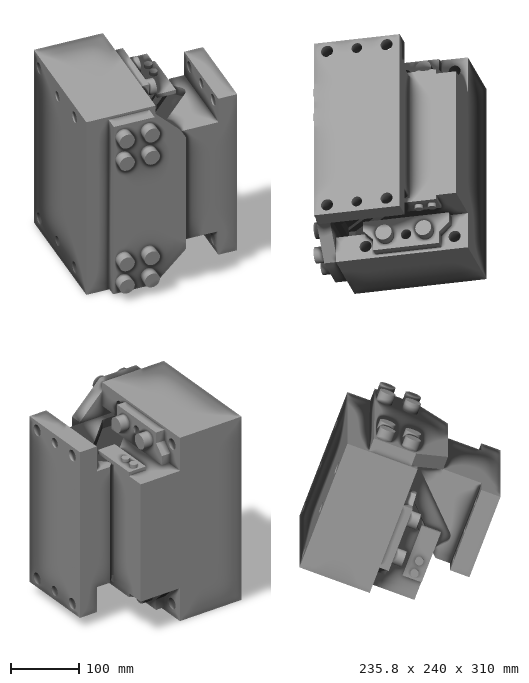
import cadquery as cq
import math

SIDES = (1, -1)

base_length = 200.0
base_depth = 110.0
base_width = 310.0
channel_floor = 70.0
channel_half_width = 115.0

large_hole_diameter = 18.0
small_hole_diameter = 15.8
base_large_hole_xs = (20.0, 155.0)
base_large_hole_z = 135.0
base_small_hole_x = 90.0
base_small_hole_z = 130.0

bolt_diameter = 24.2
bolt_height = 15.8
bolt_z = 130.2

gib_center_x = base_small_hole_x
gib_length = 130.0
gib_thickness = 15.0
gib_chamfer = 15.0
gib_inner_z = 102.0
gib_shoulder_z = 117.2
gib_outer_z = 150.0
gib_bolt_spacing = 60.0

end_plate_thickness = 20.0
end_plate_bottom = 34.0
end_plate_top = 150.0
end_plate_half_width = 150.0
end_plate_chamfer = 50.0
end_plate_rise = 1.2
end_bolt_ys = (50.0, 90.0)
end_bolt_zs = (90.2, bolt_z)

slide_half_width = 99.2
slide_top = 180.0
crest_x = 70.0
side_plate_x = 30.0
side_plate_length = 80.0
side_plate_height = 30.0
side_plate_thickness = 6.5
pin_diameter = 12.5
pin_height = 6.0
pin_xs = (40.3, 60.0)

driver_top = 240.0
driver_flange_thickness = 30.0
driver_flange_half_width = 140.0
driver_half_width = 98.0
driver_large_hole_xs = (90.0, 180.0)
driver_small_hole_x = sum(driver_large_hole_xs) / 2
driver_hole_z = 125.2

lip_gap = 4.5
rail_thickness = 10.0
pocket_height = 40.0
pocket_start = 10.0
rail_step = 57.5

pocket_depth = 15.0
pocket_radius = 12.0
pocket_end_wall = 10.0
upper_rail_rise = 10.0
lower_rail_rise = 5.0


def block(x_range, y_range, z_range):
    """Box between the given limits."""
    size = [high - low for low, high in (x_range, y_range, z_range)]
    return cq.Workplane("XY").box(*size, centered=False).translate((x_range[0], y_range[0], z_range[0]))


def cylinder(diameter, height, start, direction):
    """Cylinder that grows from the start point along the direction."""
    solid = cq.Solid.makeCylinder(diameter / 2, height, cq.Vector(*start), cq.Vector(*direction))
    return cq.Workplane(obj=solid)


def prism(points, half_width):
    """XY outline extruded to both sides of Z = 0."""
    return cq.Workplane("XY").polyline(points).close().extrude(half_width, both=True)


def incline_block(along, square, z_range):
    """Box laid out down the 45 degree face from the crest and square to it."""
    box = block(along, square, z_range)
    return box.rotate((0, 0, 0), (0, 0, 1), -45).translate((crest_x, slide_top, 0))


def make_gib(side):
    """Plate with a narrowed outer part, and its two bolt heads."""
    half = gib_length / 2
    narrow = half - gib_chamfer
    outline = [
        (-half, gib_inner_z),
        (half, gib_inner_z),
        (half, gib_shoulder_z),
        (narrow, gib_shoulder_z + gib_chamfer),
        (narrow, gib_outer_z),
        (-narrow, gib_outer_z),
        (-narrow, gib_shoulder_z + gib_chamfer),
        (-half, gib_shoulder_z),
    ]
    points = [(gib_center_x + x, side * z) for x, z in outline]
    gib = cq.Workplane("XZ", origin=(0, base_depth, 0)).polyline(points).close()
    gib = gib.extrude(-gib_thickness)
    for shift in (-gib_bolt_spacing / 2, gib_bolt_spacing / 2):
        start = (gib_center_x + shift, base_depth + gib_thickness, side * bolt_z)
        gib = gib.union(cylinder(bolt_diameter, bolt_height, start, (0, 1, 0)))
    return gib


def make_end_plate():
    """Plate with two chamfered corners, a sloped lower edge and four bolt heads near each side."""
    shoulder = end_plate_top - end_plate_chamfer
    narrow = end_plate_half_width - end_plate_chamfer
    outline = [
        (end_plate_bottom, -end_plate_half_width),
        (shoulder, -end_plate_half_width),
        (end_plate_top, -narrow),
        (end_plate_top, narrow),
        (shoulder, end_plate_half_width),
        (end_plate_bottom + end_plate_rise, end_plate_half_width),
    ]
    plate = cq.Workplane("YZ", origin=(base_length, 0, 0)).polyline(outline).close()
    plate = plate.extrude(end_plate_thickness)
    for side in SIDES:
        for y in end_bolt_ys:
            for z in end_bolt_zs:
                start = (base_length + end_plate_thickness, y, side * z)
                plate = plate.union(cylinder(bolt_diameter, bolt_height, start, (1, 0, 0)))
    return plate


def make_base():
    """Channelled block with its gibs, end plate and mounting holes."""
    body = block((0, base_length), (0, base_depth), (-base_width / 2, base_width / 2))
    channel = block(
        (0, base_length),
        (channel_floor, base_depth),
        (-channel_half_width, channel_half_width),
    )
    body = body.cut(channel).union(make_end_plate())
    for side in SIDES:
        body = body.union(make_gib(side))
    hole_depth = base_depth + gib_thickness
    for side in SIDES:
        for x in base_large_hole_xs:
            start = (x, 0, side * base_large_hole_z)
            body = body.cut(cylinder(large_hole_diameter, hole_depth, start, (0, 1, 0)))
        start = (base_small_hole_x, 0, side * base_small_hole_z)
        body = body.cut(cylinder(small_hole_diameter, hole_depth, start, (0, 1, 0)))
    return body


def make_slide():
    """T-shaped slide with a 45 degree face, side plates and pins."""
    outline = [
        (0, channel_floor),
        (crest_x + slide_top - channel_floor, channel_floor),
        (crest_x, slide_top),
        (0, slide_top),
    ]
    flange_zone = block(
        (0, base_length),
        (channel_floor, base_depth),
        (-channel_half_width, channel_half_width),
    )
    flanges = prism(outline, channel_half_width).intersect(flange_zone)
    body = prism(outline, slide_half_width).union(flanges)
    plate_z = slide_half_width + side_plate_thickness
    for side in SIDES:
        body = body.union(block(
            (side_plate_x, side_plate_x + side_plate_length),
            (slide_top - side_plate_height, slide_top),
            sorted((side * slide_half_width, side * plate_z)),
        ))
        for x in pin_xs:
            start = (x, slide_top - side_plate_height / 2, side * plate_z)
            body = body.union(cylinder(pin_diameter, pin_height, start, (0, 0, side)))
    return body


def make_driver():
    """Flanged wedge with a rail on the slide's 45 degree face and a pocket in each side."""
    flange_bottom = driver_top - driver_flange_thickness
    lip_y = slide_top + lip_gap * math.sqrt(2)
    outline = [
        (crest_x, flange_bottom),
        (crest_x, lip_y),
        (crest_x + lip_y - channel_floor, channel_floor),
        (base_length, channel_floor),
        (base_length, flange_bottom),
    ]
    body = prism(outline, driver_half_width)
    body = body.union(block(
        (crest_x, base_length),
        (flange_bottom, driver_top),
        (-driver_flange_half_width, driver_flange_half_width),
    ))

    floor_z = driver_half_width - pocket_depth
    incline_end = pocket_start + base_length + driver_top
    pocket_limit = block(
        (crest_x, base_length - pocket_end_wall),
        (channel_floor, flange_bottom),
        (-driver_half_width, driver_half_width),
    )
    for side in SIDES:
        pocket = incline_block(
            (pocket_start, incline_end),
            (0, pocket_height),
            sorted((side * floor_z, side * driver_half_width)),
        )
        top_corner = cq.selectors.NearestToPointSelector((
            crest_x + (pocket_start + pocket_height) / math.sqrt(2),
            slide_top + (pocket_height - pocket_start) / math.sqrt(2),
            side * (floor_z + driver_half_width) / 2,
        ))
        body = body.cut(pocket.edges(top_corner).fillet(pocket_radius).intersect(pocket_limit))

    upper_z = floor_z + upper_rail_rise
    lower_z = floor_z + lower_rail_rise
    rail = incline_block((pocket_start, incline_end), (0, rail_thickness), (-lower_z, lower_z))
    rail = rail.union(incline_block((pocket_start, rail_step), (0, rail_thickness), (-upper_z, upper_z)))
    body = body.union(rail.intersect(pocket_limit))

    for side in SIDES:
        z = side * driver_hole_z
        for x in driver_large_hole_xs:
            start = (x, flange_bottom, z)
            body = body.cut(cylinder(large_hole_diameter, driver_flange_thickness, start, (0, 1, 0)))
        start = (driver_small_hole_x, flange_bottom, z)
        body = body.cut(cylinder(small_hole_diameter, driver_flange_thickness, start, (0, 1, 0)))
    return body


base = make_base()
slide = make_slide()
driver = make_driver()

result = cq.Compound.makeCompound([base.solids().val(), slide.solids().val(), driver.solids().val()])